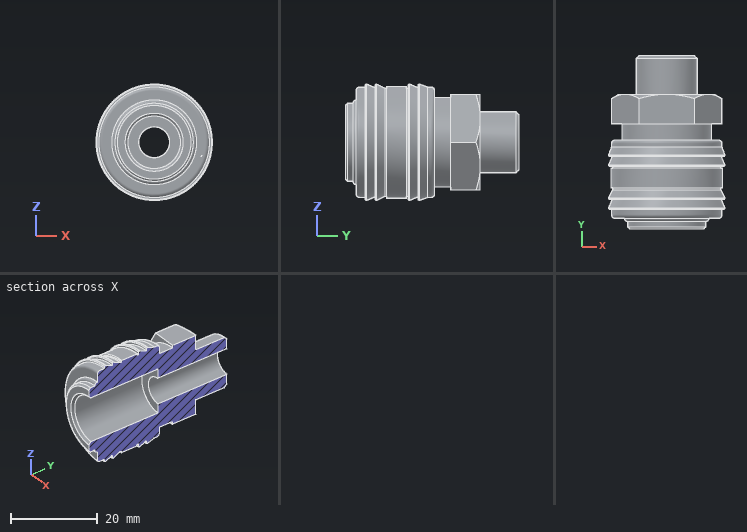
import cadquery as cq
import math

LENGTH = 40.0

COLLAR_RADIUS = 9.0
COLLAR_CHAMFER = 0.5
COLLAR_END = 1.75
RING_RADIUS = 9.75
RING_ROUND = RING_RADIUS - COLLAR_RADIUS

SLEEVE_START = 2.5
SLEEVE_END = 20.55
SLEEVE_RADIUS = 12.7
SLEEVE_ROUND = 0.85
BAND_START = 9.5
BAND_END = 14.05
BAND_RADIUS = 12.9

RIB_RADIUS = 13.4
RIB_PITCH = 2.3
RIB_PAIR_STARTS = (4.5, 14.4)
RIB_TIP_WIDTH = 0.1
RIB_BEVEL_WIDTH = 0.3
RIB_BEVEL_DEPTH = 0.2
RIB_ROOT_RADIUS = 12.6
GROOVE_RADIUS = 12.5

NECK_RADIUS = 10.3
HEX_START = 24.25
HEX_END = 31.05
HEX_FLATS = 22.0
HEX_CHAMFER_ANGLE = 30.0
STUB_RADIUS = 7.05
STUB_CHAMFER_DEPTH = 0.75
STUB_CHAMFER_LENGTH = 0.7

SOCKET_RADIUS = 6.05
SOCKET_DEPTH = 20.0
SOCKET_CHAMFER = 0.65
PASSAGE_RADIUS = 3.5


def turned(points):
    """Revolve a closed (radius, y) outline about the Y axis."""
    return cq.Workplane("XY").polyline(points).close().revolve(360, (0, 0, 0), (0, 1, 0))


def cylinder(radius, start, end):
    """Solid cylinder on the Y axis between two Y positions."""
    return turned([(0, start), (radius, start), (radius, end), (0, end)])


def rib(start, root_radius):
    """One grip rib whose slope falls to root_radius one pitch behind its start."""
    bevel_end = start + RIB_BEVEL_WIDTH
    end = start + RIB_PITCH
    return turned([
        (0, start),
        (RIB_RADIUS - RIB_BEVEL_DEPTH, start),
        (RIB_RADIUS, bevel_end),
        (RIB_RADIUS, bevel_end + RIB_TIP_WIDTH),
        (root_radius, end),
        (0, end),
    ])


def mouth_collar():
    collar = cylinder(COLLAR_RADIUS, 0, SLEEVE_START).faces("<Y").chamfer(COLLAR_CHAMFER)
    ring = cylinder(RING_RADIUS, COLLAR_END, SLEEVE_START + RING_ROUND)
    return collar.union(ring.faces("<Y").edges().fillet(RING_ROUND))


def sleeve():
    front_ribs_start, rear_ribs_start = RIB_PAIR_STARTS
    front_ribs_end = front_ribs_start + 2 * RIB_PITCH
    rear_ribs_end = rear_ribs_start + 2 * RIB_PITCH
    front = cylinder(SLEEVE_RADIUS, SLEEVE_START, front_ribs_start)
    front = front.faces("<Y").edges().fillet(SLEEVE_ROUND)
    rear = cylinder(SLEEVE_RADIUS, rear_ribs_end, SLEEVE_END)
    rear = rear.faces(">Y").edges().fillet(SLEEVE_ROUND)
    core = cylinder(GROOVE_RADIUS, front_ribs_end, rear_ribs_start)
    band = cylinder(BAND_RADIUS, BAND_START, BAND_END)
    body = front.union(core).union(band).union(rear)
    pair_end_radii = (GROOVE_RADIUS, SLEEVE_RADIUS)
    for start, end_radius in zip(RIB_PAIR_STARTS, pair_end_radii):
        body = body.union(rib(start, RIB_ROOT_RADIUS))
        body = body.union(rib(start + RIB_PITCH, end_radius))
    return body


def hexagon():
    """Hexagon with flats facing +Z and -Z and a conical chamfer on its rear end."""
    corner_radius = HEX_FLATS / 2 / math.cos(math.radians(30))
    rear_radius = HEX_FLATS / 2
    cone_height = (corner_radius - rear_radius) * math.tan(math.radians(HEX_CHAMFER_ANGLE))
    prism = (
        cq.Workplane("XZ", origin=(0, HEX_END, 0))
        .polygon(6, 2 * corner_radius)
        .extrude(HEX_END - HEX_START)
    )
    envelope = turned([
        (0, HEX_START),
        (corner_radius, HEX_START),
        (corner_radius, HEX_END - cone_height),
        (rear_radius, HEX_END),
        (0, HEX_END),
    ])
    return prism.intersect(envelope)


def stub():
    return turned([
        (0, HEX_END),
        (STUB_RADIUS, HEX_END),
        (STUB_RADIUS, LENGTH - STUB_CHAMFER_LENGTH),
        (STUB_RADIUS - STUB_CHAMFER_DEPTH, LENGTH),
        (0, LENGTH),
    ])


def bore():
    return turned([
        (0, 0),
        (SOCKET_RADIUS + SOCKET_CHAMFER, 0),
        (SOCKET_RADIUS, SOCKET_CHAMFER),
        (SOCKET_RADIUS, SOCKET_DEPTH),
        (PASSAGE_RADIUS, SOCKET_DEPTH),
        (PASSAGE_RADIUS, LENGTH),
        (0, LENGTH),
    ])


neck = cylinder(NECK_RADIUS, SLEEVE_END, HEX_START)
result = mouth_collar().union(sleeve()).union(neck).union(hexagon()).union(stub()).cut(bore())